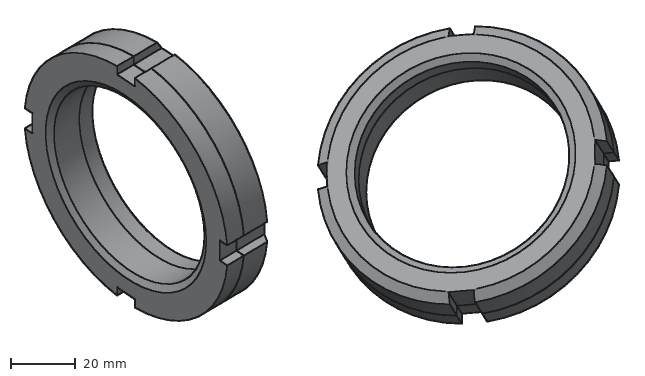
import cadquery as cq
import math

outer_diameter = 92.0
bore_diameter = 68.0
ring_width = 19.0
front_ring_width = 7.0

flange_gap = 0.1

spigot_diameter = 76.0
spigot_length = 5.05

bearing_face_diameter = 85.0
relief_angle = 30.0

countersink_diameter = 72.7
countersink_angle = 60.0

slot_count = 4
slot_width = 8.0
slot_depth = 3.5

outer_radius = outer_diameter / 2
bore_radius = bore_diameter / 2
bearing_face_radius = bearing_face_diameter / 2
spigot_radius = spigot_diameter / 2
back_ring_start = front_ring_width + flange_gap
spigot_end = front_ring_width + spigot_length
countersink_radius = countersink_diameter / 2
relief_length = (outer_radius - bearing_face_radius) * math.tan(math.radians(relief_angle))
countersink_depth = (countersink_radius - bore_radius) / math.tan(math.radians(countersink_angle))


def revolve_about_y(profile_points):
    """Turn a closed (radius, Y) profile around the Y axis."""
    return cq.Workplane("XY").polyline(profile_points).close().revolve(360, (0, 0, 0), (0, 1, 0))


def cut_slots(ring):
    """Cut the spanner slots through the full width of the rim."""
    slot = cq.Workplane("XY").box(2 * slot_depth, ring_width, slot_width)
    slot = slot.translate((outer_radius, ring_width / 2, 0))
    for i in range(slot_count):
        ring = ring.cut(slot.rotate((0, 0, 0), (0, 1, 0), i * 360 / slot_count))
    return ring


def make_front_ring():
    """Front ring with a flat face, a countersunk bore and a spigot at the back."""
    return cut_slots(revolve_about_y([
        (countersink_radius, 0),
        (outer_radius, 0),
        (outer_radius, front_ring_width),
        (spigot_radius, front_ring_width),
        (spigot_radius, spigot_end),
        (bore_radius, spigot_end),
        (bore_radius, countersink_depth),
    ]))


def make_back_ring():
    """Back ring with a conical relief outside, a countersunk bore and a recess for the spigot."""
    return cut_slots(revolve_about_y([
        (bore_radius, spigot_end),
        (spigot_radius, spigot_end),
        (spigot_radius, back_ring_start),
        (outer_radius, back_ring_start),
        (outer_radius, ring_width - relief_length),
        (bearing_face_radius, ring_width),
        (countersink_radius, ring_width),
        (bore_radius, ring_width - countersink_depth),
    ]))


front_ring = make_front_ring()
back_ring = make_back_ring()

result = cq.Compound.makeCompound([front_ring.val(), back_ring.val()])